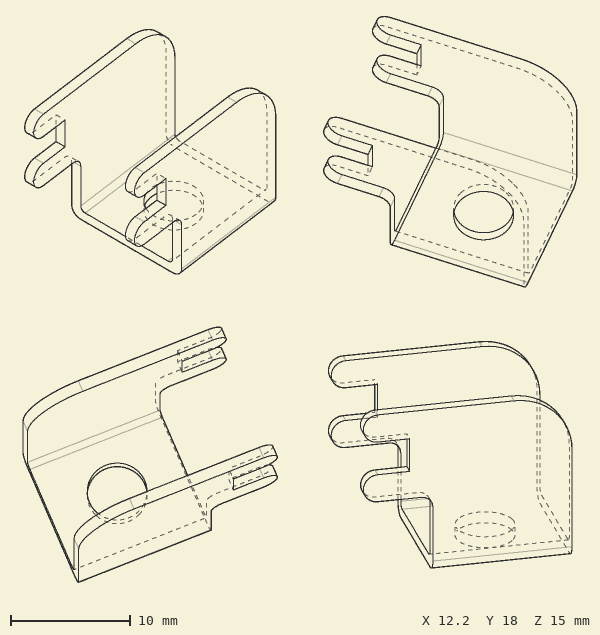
import cadquery as cq

width = 12.2
length = 18.0
height = 15.0

thickness = 1.0
bend_outer_radius = 1.0
bend_inner_radius = 0.5

base_length = 12.0
hole_diameter = 5.0

rear_corner_radius = 5.0
tab_height = 2.5
tab_gap = 3.0
gap_depth = 4.0
notch_fillet_radius = 1.0

base_front = length - base_length
tab_radius = tab_height / 2
tab_gap_top = height - tab_height
tab_gap_bottom = tab_gap_top - tab_gap
notch_top = tab_gap_bottom - tab_height


def bent_channel():
    """U-shaped channel, full length, with rounded bends along Y."""
    outer = (
        cq.Workplane("XY")
        .box(width, length, height, centered=(True, False, False))
        .edges("|Y and <Z")
        .fillet(bend_outer_radius)
    )
    inner = (
        cq.Workplane("XY")
        .workplane(offset=thickness)
        .box(width - 2 * thickness, length, height, centered=(True, False, False))
        .edges("|Y and <Z")
        .fillet(bend_inner_radius)
    )
    return outer.cut(inner)


def side_profile():
    """Side outline of the walls and base, extruded across the width."""
    return (
        cq.Workplane("YZ")
        .workplane(offset=-width / 2)
        .moveTo(base_front, 0)
        .lineTo(length, 0)
        .lineTo(length, height - rear_corner_radius)
        .radiusArc((length - rear_corner_radius, height), -rear_corner_radius)
        .lineTo(tab_radius, height)
        .threePointArc((0, height - tab_radius), (tab_radius, tab_gap_top))
        .lineTo(gap_depth, tab_gap_top)
        .lineTo(gap_depth, tab_gap_bottom)
        .lineTo(tab_radius, tab_gap_bottom)
        .threePointArc((0, tab_gap_bottom - tab_radius), (tab_radius, notch_top))
        .lineTo(base_front - notch_fillet_radius, notch_top)
        .radiusArc((base_front, notch_top - notch_fillet_radius), notch_fillet_radius)
        .close()
        .extrude(width)
    )


def base_hole():
    """Round hole through the middle of the base."""
    return (
        cq.Workplane("XY")
        .center(0, base_front + base_length / 2)
        .circle(hole_diameter / 2)
        .extrude(thickness)
    )


result = bent_channel().intersect(side_profile()).cut(base_hole())